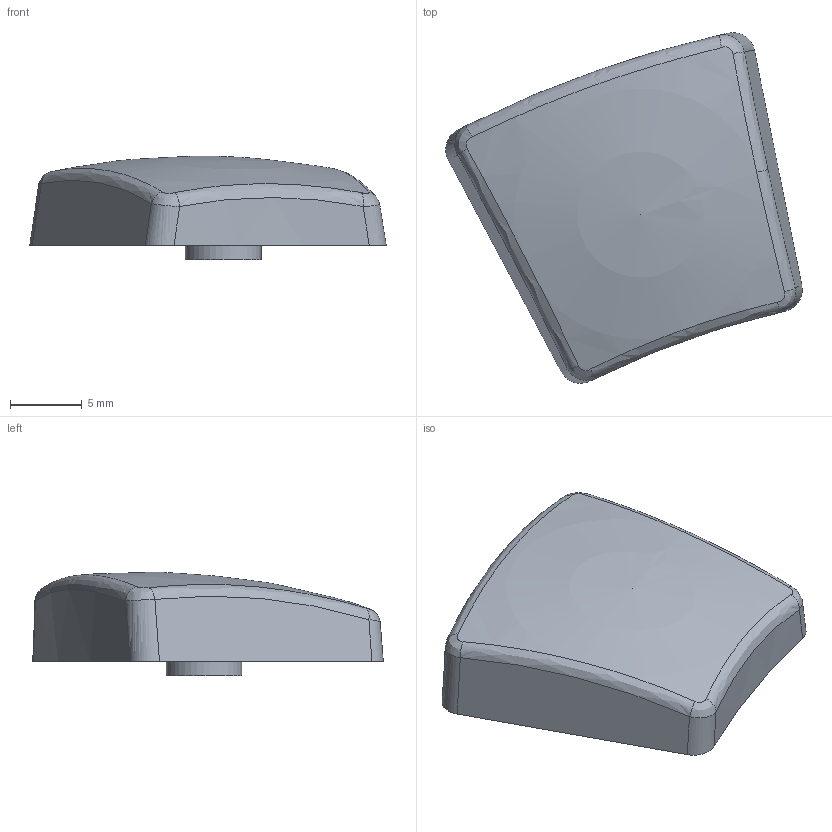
import cadquery as cq
import math

mid_radius = 70.25
radial_depth = 19.8
half_angle = 8.3
turn_angle = 19.7

side_draft = 9.4
corner_radius = 1.5
rim_radius = 1.0

dome_radius = 50.0
dome_tilt = 6.0
dome_pole_height = 6.0

stem_diameter = 5.3
stem_length = 1.0
stem_offset_across = 0.15
stem_offset_outward = 0.14

block_height = 10.0

inner_radius = mid_radius - radial_depth / 2
outer_radius = mid_radius + radial_depth / 2


def ring_point(radius, angle):
    """Point at a distance from the ring centre, at an angle from the mid line."""
    turn = math.radians(angle)
    return (radius * math.sin(turn), radius * math.cos(turn) - mid_radius)


def sector_block():
    """Ring sector with upright walls all round."""
    return (
        cq.Workplane("XY")
        .moveTo(*ring_point(inner_radius, -half_angle))
        .lineTo(*ring_point(outer_radius, -half_angle))
        .threePointArc(ring_point(outer_radius, 0), ring_point(outer_radius, half_angle))
        .lineTo(*ring_point(inner_radius, half_angle))
        .threePointArc(ring_point(inner_radius, 0), ring_point(inner_radius, -half_angle))
        .close()
        .extrude(block_height)
    )


def draft_wedge(side):
    """Material leaned off one straight side; side is +1 or -1."""
    lean = block_height * math.tan(math.radians(side_draft))
    return (
        cq.Workplane("XZ", origin=(0, -mid_radius, 0))
        .polyline([(0, 0), (side * lean, 0), (side * lean, block_height), (-side * lean, block_height)])
        .close()
        .extrude(-2 * mid_radius)
        .rotate((0, -mid_radius, 0), (0, -mid_radius, 1), -side * half_angle)
    )


def dome_ball():
    """Sphere that shapes the top face, with its pole on the leaning axis."""
    return (
        cq.Workplane("XY")
        .sphere(dome_radius)
        .translate((0, 0, dome_pole_height - dome_radius))
        .rotate((0, 0, 0), (1, 0, 0), dome_tilt)
    )


def cap():
    """Drafted sector with rounded corners, a domed top and a rounded rim."""
    body = sector_block()
    for side in (-1, 1):
        body = body.cut(draft_wedge(side))
    body = body.edges("not (<Z or >Z)").fillet(corner_radius)
    body = body.intersect(dome_ball())
    return body.faces(">Z").edges().fillet(rim_radius)


def stem():
    """Round stub below the flat base."""
    return (
        cq.Workplane("XY")
        .center(stem_offset_across, stem_offset_outward)
        .circle(stem_diameter / 2)
        .extrude(-stem_length)
    )


result = cap().union(stem()).rotate((0, 0, 0), (0, 0, 1), turn_angle)